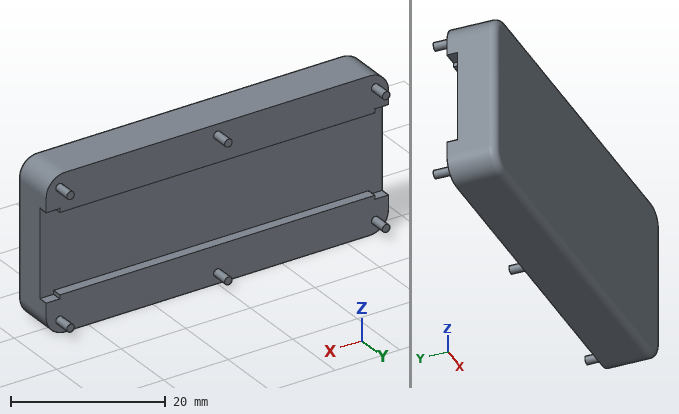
import cadquery as cq

length = 53.0
height = 23.6
body_depth = 7.0
total_depth = 9.6
corner_radius = 2.95
front_fillet = 1.0

channel_depth = 1.5
channel_width = 12.2
channel_mouth_width = 13.35
channel_mouth_length = 2.1

pin_diameter = 1.15
pin_length = total_depth - body_depth
pin_x = 24.45
end_pin_z = 9.8
middle_pin_z = 10.2


def make_body():
    """Slab with rounded corners and a filleted front rim, from Y = 0 to Y = body_depth."""
    slab = cq.Workplane("XY").box(length, body_depth, height).translate((0, body_depth / 2, 0))
    return slab.edges("|Y").fillet(corner_radius).faces("<Y").edges().fillet(front_fillet)


def back_recess(x_start, x_end, width):
    """Cutter for one stretch of the channel, centred on Z = 0."""
    recess = cq.Workplane("XY").box(x_end - x_start, channel_depth, width)
    return recess.translate(((x_start + x_end) / 2, body_depth - channel_depth / 2, 0))


def make_pin(x, z):
    """Round pin standing on the back face and pointing toward +Y."""
    base = cq.Plane(origin=(x, body_depth, z), xDir=(1, 0, 0), normal=(0, 1, 0))
    return cq.Workplane(base).circle(pin_diameter / 2).extrude(pin_length)


half_length = length / 2
mouth_start = half_length - channel_mouth_length

result = make_body()
result = result.cut(back_recess(-half_length, half_length, channel_width))
result = result.cut(back_recess(-half_length, -mouth_start, channel_mouth_width))
result = result.cut(back_recess(mouth_start, half_length, channel_mouth_width))

pin_columns = [(-pin_x, end_pin_z), (0, middle_pin_z), (pin_x, end_pin_z)]
for x, z in pin_columns:
    for side in (-1, 1):
        result = result.union(make_pin(x, side * z))